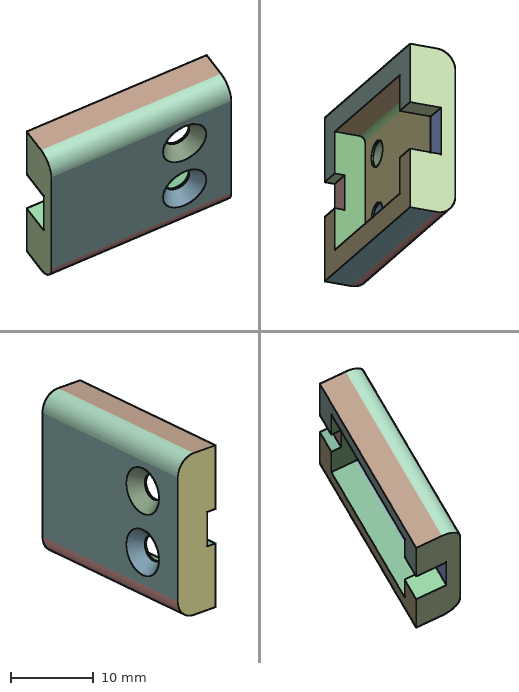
import cadquery as cq
import math

depth = 6.0
length = 25.02
height = 21.45
back_radius = 2.5

wall = 3.0
cavity_length = length - 2 * wall
cavity_height = 15.5
cavity_depth = 4.0
cavity_radius = 0.73

front_notch_height = 6.1
front_notch_depth = 4.1
rear_notch_height = 4.55
rear_notch_depth = 1.33

hole_diameter = 3.3
countersink_diameter = 6.0
hole_land = 0.25
hole_y = 6.0
hole_spacing = 8.13
hole_pair_z = 0.15


def open_pocket(pocket_depth, pocket_length, pocket_height, center_y):
    """Block sunk into the -X face, which lies at X = 0."""
    block = cq.Workplane("XY").box(
        pocket_depth, pocket_length, pocket_height, centered=(False, True, True)
    )
    return block.translate((0, center_y, 0))


body = cq.Workplane("XY").box(depth, length, height, centered=(False, True, True))
body = body.edges("|Y and >X").fillet(back_radius)

cavity = open_pocket(cavity_depth, cavity_length, cavity_height, 0)
cavity = cavity.edges("|Y and >X").fillet(cavity_radius)

wall_center_y = (length - wall) / 2
front_notch = open_pocket(front_notch_depth, wall, front_notch_height, -wall_center_y)
rear_notch = open_pocket(rear_notch_depth, wall, rear_notch_height, wall_center_y)

result = body.cut(cavity).cut(front_notch).cut(rear_notch)

countersink_depth = depth - cavity_depth - hole_land
countersink_flare = (countersink_diameter - hole_diameter) / 2
countersink_angle = 2 * math.degrees(math.atan2(countersink_flare, countersink_depth))

result = (
    result.copyWorkplane(cq.Workplane("YZ", origin=(depth, hole_y, hole_pair_z)))
    .rarray(0.25, hole_spacing, 1, 2)
    .cskHole(hole_diameter, countersink_diameter, countersink_angle)
)